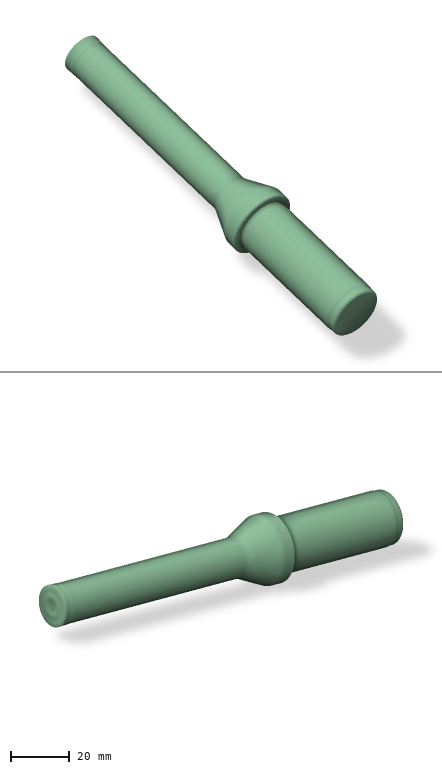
import cadquery as cq
import math

total_length = 147.0
cut_diameter = 14.9
neck_diameter = 14.4
collar_diameter = 25.0
shank_diameter = 20.0
relief_diameter = 19.5
shank_length = 50.0

cut_radius = cut_diameter / 2
neck_radius = neck_diameter / 2
collar_radius = collar_diameter / 2
shank_radius = shank_diameter / 2
relief_radius = relief_diameter / 2

tip_length = 4.75
front_x = -total_length / 2
rear_x = front_x + total_length
tip_end_x = front_x + tip_length
collar_rear_x = rear_x - shank_length

cone_start_x = front_x + 79.9
cone_end_x = front_x + 91.95
cone_start_fillet = 4.5
cone_end_fillet = 3.5
collar_chamfer = 0.4

relief_length = 0.9
end_band_length = 2.6
taper_angle = math.radians(15)
taper_fillet = 1.5
end_fillet = 1.0


def revolve_about_x(outline):
    """Turn a closed outline, drawn as (x, radius), about the X axis."""
    return outline.revolve(360, (0, 0, 0), (1, 0, 0))


def make_tip():
    """Solid swept by the turning cutting inserts: dished, rippled face and two shallow side bulges."""
    dished_face = [
        (0.55, 0.0),
        (0.53, 0.3),
        (0.48, 1.15),
        (0.36, 1.75),
        (0.13, 2.55),
        (0.0, 3.2),
    ]
    outer_face = [
        (0.0, 3.65),
        (0.05, 3.9),
        (0.18, 4.8),
        (0.20, 5.3),
        (0.16, 6.0),
        (0.18, 6.45),
        (0.22, 6.75),
        (0.30, 7.1),
        (0.42, 7.4),
    ]
    side = [
        (0.75, cut_radius - 0.01),
        (0.85, cut_radius),
        (1.50, cut_radius - 0.03),
        (2.30, cut_radius - 0.14),
        (2.75, cut_radius - 0.16),
        (3.70, cut_radius - 0.11),
        (4.20, cut_radius - 0.14),
        (tip_length, neck_radius + 0.04),
    ]
    points = [(front_x + depth, radius) for depth, radius in dished_face + outer_face + side]
    points.append((tip_end_x, 0.0))
    return revolve_about_x(cq.Workplane("XY").polyline(points).close())


def make_holder():
    """Neck, cone, collar and shank turned as one body."""
    cone_angle = math.atan2(collar_radius - neck_radius, cone_end_x - cone_start_x)
    cone_run = math.cos(cone_angle)
    cone_rise = math.sin(cone_angle)
    start_reach = cone_start_fillet * math.tan(cone_angle / 2)
    end_reach = cone_end_fillet * math.tan(cone_angle / 2)

    blend_length = taper_fillet * math.sin(taper_angle)
    blend_radius = relief_radius + taper_fillet * (1 - math.cos(taper_angle))
    slope_length = (shank_radius - blend_radius) / math.tan(taper_angle)
    relief_end_x = collar_rear_x + relief_length
    band_start_x = rear_x - end_band_length

    outline = (
        cq.Workplane("XY")
        .moveTo(tip_end_x, 0)
        .lineTo(tip_end_x, neck_radius)
        .lineTo(cone_start_x - start_reach, neck_radius)
        .radiusArc(
            (cone_start_x + start_reach * cone_run, neck_radius + start_reach * cone_rise),
            -cone_start_fillet,
        )
        .lineTo(cone_end_x - end_reach * cone_run, collar_radius - end_reach * cone_rise)
        .radiusArc((cone_end_x + end_reach, collar_radius), cone_end_fillet)
        .lineTo(collar_rear_x - collar_chamfer, collar_radius)
        .lineTo(collar_rear_x, collar_radius - collar_chamfer)
        .lineTo(collar_rear_x, relief_radius)
        .lineTo(relief_end_x, relief_radius)
        .radiusArc((relief_end_x + blend_length, blend_radius), -taper_fillet)
        .lineTo(relief_end_x + blend_length + slope_length, shank_radius)
        .lineTo(band_start_x - blend_length - slope_length, shank_radius)
        .lineTo(band_start_x - blend_length, blend_radius)
        .radiusArc((band_start_x, relief_radius), -taper_fillet)
        .lineTo(rear_x - end_fillet, relief_radius)
        .radiusArc((rear_x, relief_radius - end_fillet), end_fillet)
        .lineTo(rear_x, 0)
        .close()
    )
    return revolve_about_x(outline)


tip = make_tip()
holder = make_holder()
result = cq.Compound.makeCompound([tip.val(), holder.val()])